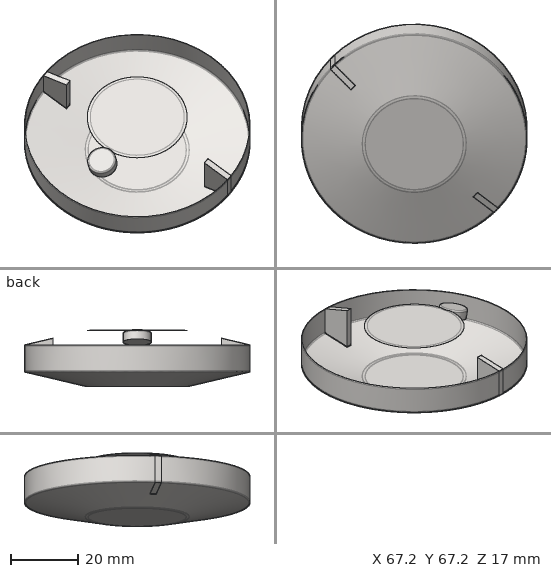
import cadquery as cq
import math

pan_radius = 33.6
pan_height = 12.5
shell = 0.2
floor_radius = 15.05
flank_height = 4.4
floor_blend = 3.8
corner_fillet = 0.35
flank_slope = flank_height / (pan_radius - floor_radius)
flank_angle = math.degrees(math.atan(flank_slope))

rib_thickness = 1.9
rib_inner_x = 25.0
rib_inner_top = 14.45

disk_radius = 14.85
disk_flat_radius = 14.0
disk_thickness = 0.1
disk_top = 16.8
knob_diameter = 8.5
knob_height = 2.95
knob_fillet = 0.5
knob_top_y = -18.55
knob_top_z = 16.15


def revolve_cup(radius, flat_radius, base_z):
    """Solid cup outline: flat floor, flank at the common slope and upright wall."""
    flank_top = base_z + (radius - flat_radius) * flank_slope
    cup = (
        cq.Workplane("XZ")
        .moveTo(0, base_z)
        .lineTo(flat_radius, base_z)
        .lineTo(radius, flank_top)
        .lineTo(radius, pan_height)
        .lineTo(0, pan_height)
        .close()
        .revolve(360, (0, 0), (0, 1))
    )
    flank_edge = cq.selectors.BoxSelector(
        (-2 * radius, -2 * radius, flank_top - corner_fillet),
        (2 * radius, 2 * radius, flank_top + corner_fillet),
        boundingbox=True,
    )
    return cup.edges("<Z").fillet(floor_blend).edges(flank_edge).edges("%CIRCLE").fillet(corner_fillet)


def make_outer_cup():
    """Outside of the pan filled solid, with the rim rounded over."""
    return revolve_cup(pan_radius, floor_radius, 0).edges(">Z").fillet(corner_fillet)


def make_cavity():
    """Inside of the pan, parallel to the outside at the shell thickness."""
    floor_inset = shell * math.tan(math.radians(flank_angle / 2))
    return revolve_cup(pan_radius - shell, floor_radius - floor_inset, shell)


def make_rib(side, outer_cup):
    """Plate inside the wall with its bottom flush with the flank; side is +1 or -1."""
    rib_outer_top = rib_inner_top - (pan_radius - rib_inner_x) * flank_slope
    blank = (
        cq.Workplane("XZ")
        .moveTo(side * rib_inner_x, 0)
        .lineTo(side * rib_inner_x, rib_inner_top)
        .lineTo(side * pan_radius, rib_outer_top)
        .lineTo(side * pan_radius, 0)
        .close()
        .extrude(rib_thickness / 2, both=True)
    )
    mid_wall_z = (flank_height + pan_height) / 2
    inside_wall = cq.Workplane("XY").circle(pan_radius - shell).extrude(rib_inner_top)
    above_mid_wall = cq.Workplane("XY", origin=(0, 0, mid_wall_z)).circle(pan_radius).extrude(pan_height)
    return blank.intersect(inside_wall).intersect(outer_cup.union(above_mid_wall))


def make_button():
    """Disk with a tapered edge, and a knob tilted by the flank angle, as one solid."""
    disk = (
        cq.Workplane("XZ")
        .moveTo(0, disk_top - disk_thickness)
        .lineTo(disk_radius, disk_top - disk_thickness)
        .lineTo(disk_flat_radius, disk_top)
        .lineTo(0, disk_top)
        .close()
        .revolve(360, (0, 0), (0, 1))
    )
    knob = (
        cq.Workplane("XY")
        .circle(knob_diameter / 2)
        .extrude(-knob_height)
        .edges(">Z")
        .fillet(knob_fillet)
        .rotate((0, 0, 0), (1, 0, 0), flank_angle)
        .translate((0, knob_top_y, knob_top_z))
    )
    return disk.union(knob)


outer_cup = make_outer_cup()
ribs = [make_rib(side, outer_cup) for side in (-1, 1)]
pan = outer_cup.cut(make_cavity())
for rib in ribs:
    pan = pan.cut(rib)
button = make_button()

result = cq.Compound.makeCompound([pan.val(), *[rib.val() for rib in ribs], button.val()])